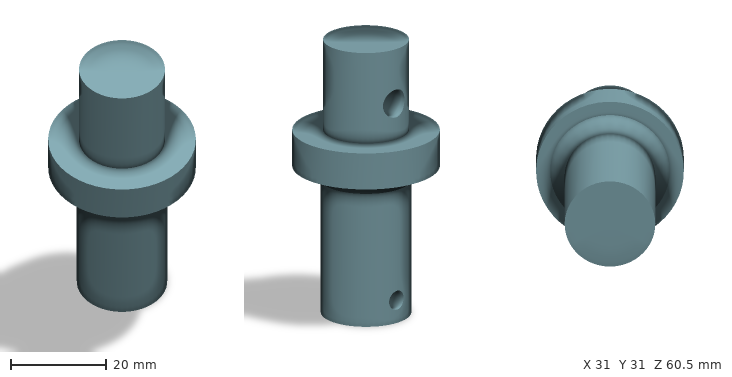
import cadquery as cq

total_height = 60.5
spigot_diameter = 18.0
flange_diameter = 31.0
shank_diameter = 19.0

spigot_height = 20.0
flange_height = 8.0
cone_height = 3.0

spigot_hole_diameter = 6.2
spigot_hole_above_flange = 8.0
shank_hole_diameter = 4.2
shank_hole_height = 5.0

flange_top = total_height - spigot_height
flange_bottom = flange_top - flange_height
cone_bottom = flange_bottom - cone_height
spigot_radius = spigot_diameter / 2
flange_radius = flange_diameter / 2
shank_radius = shank_diameter / 2
cone_top_radius = shank_radius + cone_height


def turned_body():
    """Shank, cone, flange and spigot revolved about the Z axis."""
    half_section = (
        cq.Workplane("XZ")
        .polyline([
            (0, 0),
            (shank_radius, 0),
            (shank_radius, cone_bottom),
            (cone_top_radius, flange_bottom),
            (flange_radius, flange_bottom),
            (flange_radius, flange_top),
            (spigot_radius, flange_top),
            (spigot_radius, total_height),
            (0, total_height),
        ])
        .close()
    )
    return half_section.revolve(360, (0, 0), (0, 1))


def radial_hole(diameter, height):
    """Cutter from the axis out through the +Y side at the given height."""
    return (
        cq.Workplane("XZ")
        .center(0, height)
        .circle(diameter / 2)
        .extrude(-flange_radius)
    )


result = (
    turned_body()
    .cut(radial_hole(spigot_hole_diameter, flange_top + spigot_hole_above_flange))
    .cut(radial_hole(shank_hole_diameter, shank_hole_height))
)